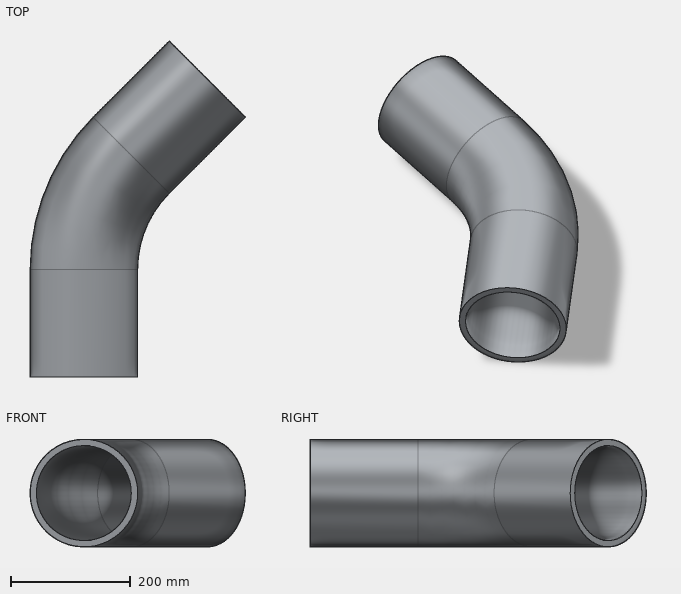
import cadquery as cq
import math

overall_length = 562.0
bend_angle = 45.0
bend_radius_ratio = 1.5
leg_length_ratio = 1.0
wall_thickness = 10.5

sin_bend = math.sin(math.radians(bend_angle))
cos_bend = math.cos(math.radians(bend_angle))
outer_bend_ratio = bend_radius_ratio + 0.5
length_ratio = leg_length_ratio + outer_bend_ratio * sin_bend + leg_length_ratio * cos_bend

outer_diameter = overall_length / length_ratio
inner_diameter = outer_diameter - 2 * wall_thickness
bend_radius = bend_radius_ratio * outer_diameter
leg_length = leg_length_ratio * outer_diameter


def pipe_section(plane):
    """Annular pipe cross-section on the given plane."""
    return cq.Workplane(plane).circle(outer_diameter / 2).circle(inner_diameter / 2)


start_plane = cq.Plane(origin=(0, 0, 0), xDir=(1, 0, 0), normal=(0, 1, 0))
bend_start_plane = cq.Plane(origin=(0, leg_length, 0), xDir=(1, 0, 0), normal=(0, 1, 0))
bend_end_plane = cq.Plane(
    origin=(bend_radius * (1 - cos_bend), leg_length + bend_radius * sin_bend, 0),
    xDir=(cos_bend, -sin_bend, 0),
    normal=(sin_bend, cos_bend, 0),
)

first_leg = pipe_section(start_plane).extrude(leg_length)

bend = pipe_section(bend_start_plane).revolve(bend_angle, (bend_radius, 0), (bend_radius, 1))

second_leg = pipe_section(bend_end_plane).extrude(leg_length)

result = first_leg.union(bend).union(second_leg)